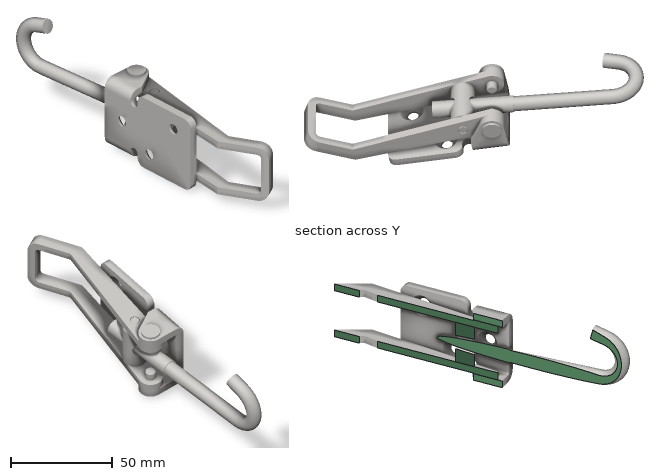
import cadquery as cq
import math


sheet = 4.0
pivot_y = 16.0
lug_radius = 6.0

plate_length = 60.0
plate_half_height = 20.0
plate_corner_radius = 4.0
flange_length = 18.0
flange_half_height = 19.2
flange_shoulder_y = 8.0
bend_inner_radius = 1.2
bend_outer_radius = bend_inner_radius + sheet
relief_width = 5.0
relief_floor_z = 11.8
mounting_hole_diameter = 5.5
countersink_diameter = 11.6
countersink_angle = 90
mounting_holes = [(6.0, 0), (25.0, -11.0), (42.0, 11.0)]
base_left = -lug_radius
base_right = base_left + plate_length
flange_right = base_left + flange_length
wing_left = flange_right + relief_width

lever_half_height = flange_half_height - sheet
lever_inner_half_height = lever_half_height - sheet
knee_x = 70.7
knee_bottom_y = 2.4
knee_top_y = 9.8
grip_angle = 28.0
grip_length = 26.5
grip_outer_radius = 6.0
grip_inner_radius = grip_outer_radius - sheet

rivet_head_diameter = 9.5
rivet_head_height = 1.2
rivet_shank_diameter = 5.2
rivet_tip_z = 7.0

trunnion_x = 14.8
trunnion_y = 14.0
trunnion_diameter = 12.1
bore_diameter = 10.0
journal_diameter = 5.0
end_chamfer = 0.5

rod_tilt = 4.3
rod_diameter = 7.4
thread_diameter = 8.2
thread_behind = 15.0
thread_ahead = 25.0
bend_start = 74.0
hook_radius = 11.6
hook_rise_angle = 15.0
hook_tip_length = 7.4


def polar(radius, degrees):
    """Point at the given radius and angle around the origin."""
    angle = math.radians(degrees)
    return radius * math.cos(angle), radius * math.sin(angle)


def lug_tangent(x, y, side):
    """Point where a line from (x, y) touches the lug circle; side +1 or -1 picks which."""
    reach_x = x
    reach_y = y - pivot_y
    heading = math.degrees(math.atan2(reach_y, reach_x))
    opening = math.degrees(math.acos(lug_radius / math.hypot(reach_x, reach_y)))
    touch_x, touch_y = polar(lug_radius, heading + side * opening)
    return touch_x, pivot_y + touch_y


def upright_cylinder(x, y, z_low, z_high, diameter):
    """Cylinder along Z between two heights."""
    return (
        cq.Workplane("XY", origin=(x, y, z_low))
        .circle(diameter / 2)
        .extrude(z_high - z_low)
    )


def symmetric_box(left, right, back, front, half_height):
    """Box between two X and two Y positions, symmetric about Z = 0."""
    return (
        cq.Workplane("XY", origin=(left, back, 0))
        .box(right - left, front - back, 2 * half_height, centered=(False, False, True))
    )


def make_wing():
    """Wide part of the plate, with rounded corners."""
    wing = symmetric_box(wing_left, base_right, 0, sheet, plate_half_height)
    return wing.edges("|Y").fillet(plate_corner_radius)


def make_neck():
    """Narrow part of the plate between two round-bottomed bend reliefs."""
    relief_radius = relief_width / 2
    neck_half_height = relief_floor_z + relief_radius
    neck = symmetric_box(flange_right, wing_left, 0, sheet, neck_half_height)
    reliefs = (
        cq.Workplane("XZ")
        .pushPoints([(flange_right + relief_radius, z) for z in (neck_half_height, -neck_half_height)])
        .circle(relief_radius)
        .extrude(-sheet)
    )
    return neck.cut(reliefs)


def make_channel():
    """Bent channel whose two flanges end in round lugs for the pivot rivets."""
    lug_top = pivot_y + lug_radius
    shell = symmetric_box(base_left, flange_right, 0, lug_top, flange_half_height)
    shell = shell.edges("|X and <Y").fillet(bend_outer_radius)
    core = symmetric_box(base_left, flange_right, sheet, lug_top, lever_half_height)
    core = core.edges("|X and <Y").fillet(bend_inner_radius)
    lug_outline = (
        cq.Workplane("XY", origin=(0, 0, -flange_half_height))
        .moveTo(base_left, 0)
        .lineTo(flange_right, 0)
        .lineTo(flange_right, flange_shoulder_y)
        .lineTo(*lug_tangent(flange_right, flange_shoulder_y, 1))
        .threePointArc((0, lug_top), (base_left, pivot_y))
        .close()
        .extrude(2 * flange_half_height)
    )
    return shell.cut(core).intersect(lug_outline)


def make_base():
    """Mounting plate with two flanges, bored for the rivets and drilled for screws."""
    base = make_wing().union(make_neck()).union(make_channel())
    base = (
        base.copyWorkplane(cq.Workplane("ZX", origin=(0, sheet, 0)))
        .pushPoints([(z, x) for x, z in mounting_holes])
        .cskHole(mounting_hole_diameter, countersink_diameter, countersink_angle, sheet)
    )
    rivet_bore = upright_cylinder(
        0, pivot_y, -flange_half_height, flange_half_height, rivet_shank_diameter
    )
    return base.cut(rivet_bore)


def make_lever():
    """U-shaped lever: two tapering arms, cranked at the knee and joined by a grip bar."""
    grip_x, grip_y = polar(grip_length, grip_angle)
    grip_depth = (knee_top_y - knee_bottom_y) * math.cos(math.radians(grip_angle))
    depth_x, depth_y = polar(grip_depth, grip_angle + 90)
    tip_bottom = (knee_x + grip_x, knee_bottom_y + grip_y)
    tip_top = (tip_bottom[0] + depth_x, tip_bottom[1] + depth_y)
    lever = (
        cq.Workplane("XY", origin=(0, 0, -lever_half_height))
        .moveTo(*lug_tangent(knee_x, knee_bottom_y, -1))
        .lineTo(knee_x, knee_bottom_y)
        .lineTo(*tip_bottom)
        .lineTo(*tip_top)
        .lineTo(knee_x, knee_top_y)
        .lineTo(*lug_tangent(knee_x, knee_top_y, 1))
        .threePointArc((-lug_radius, pivot_y), lug_tangent(knee_x, knee_bottom_y, -1))
        .close()
        .extrude(2 * lever_half_height)
    )
    grip_direction = cq.Vector(grip_x, grip_y, 0)
    grip_normal = cq.Vector(depth_x, depth_y, 0)
    lever = (
        lever.edges(cq.selectors.ParallelDirSelector(grip_normal))
        .edges(">X")
        .fillet(grip_outer_radius)
    )
    opening_length = 2 * knee_x
    opening = (
        cq.Workplane(cq.Plane(origin=(*tip_bottom, 0), xDir=grip_direction, normal=grip_normal))
        .center(-sheet - opening_length / 2, 0)
        .rect(opening_length, 2 * lever_inner_half_height)
        .extrude(opening_length, both=True)
        .edges(cq.selectors.ParallelDirSelector(grip_normal))
        .fillet(grip_inner_radius)
    )
    lever = lever.cut(opening)
    for x, y, diameter in (
        (0, pivot_y, rivet_shank_diameter),
        (trunnion_x, trunnion_y, journal_diameter),
    ):
        lever = lever.cut(upright_cylinder(x, y, -lever_half_height, lever_half_height, diameter))
    return lever


def make_rivet(side):
    """Headed pivot rivet through one flange and the lever arm beside it."""
    shank = upright_cylinder(0, pivot_y, rivet_tip_z, flange_half_height, rivet_shank_diameter)
    shank = shank.faces("<Z").chamfer(end_chamfer)
    head_top = flange_half_height + rivet_head_height
    rivet = shank.union(
        upright_cylinder(0, pivot_y, flange_half_height, head_top, rivet_head_diameter)
    )
    if side < 0:
        rivet = rivet.mirror("XY")
    return rivet


def along_rod(shape):
    """Move a shape built along X through the origin onto the tilted rod axis."""
    return shape.rotate((0, 0, 0), (0, 0, 1), rod_tilt).translate((trunnion_x, trunnion_y, 0))


def rod_end_cylinder(diameter):
    """Cylinder along the rod axis over the length of the threaded end."""
    cylinder = (
        cq.Workplane("YZ", origin=(-thread_ahead, 0, 0))
        .circle(diameter / 2)
        .extrude(thread_ahead + thread_behind)
    )
    return along_rod(cylinder)


def make_trunnion():
    """Cross barrel with a journal at each end and a clearance bore for the rod."""
    barrel = upright_cylinder(
        trunnion_x, trunnion_y, -lever_inner_half_height, lever_inner_half_height, trunnion_diameter
    )
    journals = upright_cylinder(
        trunnion_x, trunnion_y, -lever_half_height, lever_half_height, journal_diameter
    )
    journals = journals.faces("<Z or >Z").chamfer(end_chamfer)
    return barrel.union(journals).cut(rod_end_cylinder(bore_diameter))


def make_hook():
    """Rod with a threaded end and a hook bent up at the other end."""
    mid_x, mid_z = polar(hook_radius, 180)
    end_x, end_z = polar(hook_radius, 90 + hook_rise_angle)
    tip_x, tip_z = polar(hook_tip_length, hook_rise_angle)
    bend_end = (end_x - bend_start, end_z + hook_radius)
    path = (
        cq.Workplane("XZ")
        .moveTo(-thread_ahead, 0)
        .lineTo(-bend_start, 0)
        .threePointArc((mid_x - bend_start, mid_z + hook_radius), bend_end)
        .lineTo(bend_end[0] + tip_x, bend_end[1] + tip_z)
    )
    rod = (
        cq.Workplane("YZ", origin=(-thread_ahead, 0, 0))
        .circle(rod_diameter / 2)
        .sweep(path)
    )
    return along_rod(rod).union(rod_end_cylinder(thread_diameter))


base = make_base()
lever = make_lever()
trunnion = make_trunnion()
hook = make_hook()
rivets = [make_rivet(side) for side in (1, -1)]

result = cq.Compound.makeCompound(
    [base.val(), lever.val(), trunnion.val(), hook.val(), *[rivet.val() for rivet in rivets]]
)